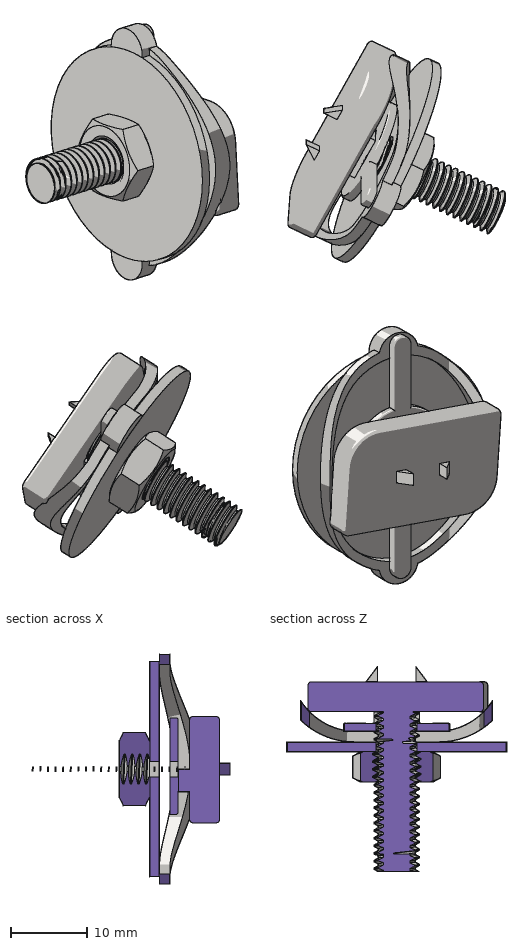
import cadquery as cq
import math


washer_back_y = 1.3
spring_back_y = 2.7
plate_back_y = 3.78
head_front_y = 5.25
head_back_y = 9.23
spike_tip_y = 11.22
nut_front_y = -4.0
bolt_end_y = -15.75

washer_radius = 14.5
bore_radius = 3.15

pitch = 1.0
crest_radius = 3.0
thread_depth = 0.55
crest_flat = pitch / 8
flank_angle = 30
ridge_embed = 0.07
crest_angle_at_end = -33

nut_clearance = 0.55
nut_across_flats = 10.0
nut_face_radius = 4.8
nut_chamfer_angle = 30

head_height = 14.05
head_long_corner_x = 12.05
head_end_slant = 4
head_small_corner_radius = 1.0
head_large_corner_radius = 4.9
head_edge_fillet = 0.5
head_offset_z = -0.07

spike_inner_x = 2.5
spike_outer_x = 4.02
spike_width = 1.6

ring_outer_x = 12.62
ring_outer_z = 15.55
ring_inner_x = 11.55
ring_inner_z = 14.23
spring_front_flat = 5.6
spring_front_bend = 10.05
spring_back_flat = 5.28
spring_back_bend = 8.67
lug_radius = 2.97
lug_centre_z = washer_radius

plate_radius = 7.03
plate_arm_half_width = 1.35
plate_arm_reach = 16.85
plate_offset_z = 0.4
plate_edge_fillet = 0.25


def sketch_at(y):
    """Workplane at height y that draws in X and Z and extrudes towards -Y."""
    return cq.Workplane("XZ", origin=(0, y, 0))


def threaded_rod(outer_radius, back_y, front_y):
    """Right-handed threaded rod; all rods share one phase, so a nut matches its bolt."""
    root_radius = outer_radius - thread_depth
    ridge_base_radius = root_radius - ridge_embed
    length = back_y - front_y
    overrun = 2 * pitch
    crest_half = crest_flat / 2
    base_half = crest_half + (outer_radius - ridge_base_radius) * math.tan(math.radians(flank_angle))
    ridge_start_y = back_y + overrun
    start_angle = crest_angle_at_end - 360 * (ridge_start_y - bolt_end_y) / pitch

    helix = cq.Wire.makeHelix(pitch, length + 2 * overrun, root_radius)
    ridge = (
        cq.Workplane("XZ")
        .polyline([
            (ridge_base_radius, -base_half),
            (outer_radius, -crest_half),
            (outer_radius, crest_half),
            (ridge_base_radius, base_half),
        ])
        .close()
        .sweep(cq.Workplane(helix), isFrenet=True)
        .rotate((0, 0, 0), (0, 0, 1), start_angle)
        .rotate((0, 0, 0), (1, 0, 0), 90)
        .translate((0, ridge_start_y, 0))
    )
    core = sketch_at(ridge_start_y).circle(root_radius).extrude(length + 2 * overrun)
    trim = sketch_at(back_y).circle(2 * outer_radius).extrude(length)
    return core.union(ridge).intersect(trim)


def make_head():
    half_height = head_height / 2
    short_corner_x = head_long_corner_x - head_height * math.tan(math.radians(head_end_slant))
    head = (
        sketch_at(head_back_y)
        .polyline([
            (head_long_corner_x, -half_height),
            (short_corner_x, half_height),
            (-head_long_corner_x, half_height),
            (-short_corner_x, -half_height),
        ])
        .close()
        .extrude(head_back_y - head_front_y)
    )
    middle_y = (head_front_y + head_back_y) / 2
    for side in (1, -1):
        long_corner = (side * head_long_corner_x, middle_y, -side * half_height)
        short_corner = (side * short_corner_x, middle_y, side * half_height)
        head = head.edges(cq.NearestToPointSelector(long_corner)).fillet(head_small_corner_radius)
        head = head.edges(cq.NearestToPointSelector(short_corner)).fillet(head_large_corner_radius)
    head = head.faces("<Y or >Y").edges().fillet(head_edge_fillet)
    return head.translate((0, 0, head_offset_z))


def make_bolt():
    """Hammer head, half-height neck and threaded shank in one piece."""
    neck = (
        sketch_at(head_front_y)
        .rect(2 * crest_radius, crest_radius)
        .extrude(head_front_y - plate_back_y)
        .translate((0, 0, -crest_radius / 2))
    )
    shank = threaded_rod(crest_radius, head_front_y, bolt_end_y)
    return shank.union(neck).union(make_head())


def make_spike(side):
    """Wedge whose inner side is square to the head and whose outer side slopes to the tip."""
    return (
        cq.Workplane("XY", origin=(0, 0, -spike_width / 2))
        .polyline([
            (side * spike_inner_x, head_back_y),
            (side * spike_outer_x, head_back_y),
            (side * spike_inner_x, spike_tip_y),
        ])
        .close()
        .extrude(spike_width)
    )


def make_washer():
    return sketch_at(washer_back_y).circle(washer_radius).circle(bore_radius).extrude(washer_back_y)


def make_nut():
    thickness = -nut_front_y
    corner_radius = nut_across_flats / math.sqrt(3)
    chamfer_height = (corner_radius - nut_face_radius) * math.tan(math.radians(nut_chamfer_angle))
    hexagon = sketch_at(0).polygon(6, 2 * corner_radius).extrude(thickness)
    chamfered_blank = (
        cq.Workplane("XY")
        .polyline([
            (0, 0),
            (nut_face_radius, 0),
            (corner_radius, -chamfer_height),
            (corner_radius, chamfer_height - thickness),
            (nut_face_radius, -thickness),
            (0, -thickness),
        ])
        .close()
        .revolve(360, (0, 0, 0), (0, 1, 0))
    )
    tapped_hole = threaded_rod(crest_radius + nut_clearance, 0, nut_front_y)
    return hexagon.intersect(chamfered_blank).cut(tapped_hole)


def bend_rise(x, flat, bend):
    """Rise at x of a surface that is flat up to `flat` and then follows an arc of radius `bend`."""
    return bend - math.sqrt(bend**2 - (x - flat) ** 2)


def bent_sheet():
    """Sheet bent about Z: flat in the middle, both sides curling towards the head."""
    tip_x = ring_outer_x
    middle_front_x = (spring_front_flat + tip_x) / 2
    middle_back_x = (spring_back_flat + tip_x) / 2

    def front(x):
        return (x, washer_back_y + bend_rise(abs(x), spring_front_flat, spring_front_bend))

    def back(x):
        return (x, spring_back_y + bend_rise(abs(x), spring_back_flat, spring_back_bend))

    return (
        cq.Workplane("XY")
        .moveTo(-spring_front_flat, washer_back_y)
        .lineTo(spring_front_flat, washer_back_y)
        .threePointArc(front(middle_front_x), front(tip_x))
        .lineTo(*back(tip_x))
        .threePointArc(back(middle_back_x), (spring_back_flat, spring_back_y))
        .lineTo(-spring_back_flat, spring_back_y)
        .threePointArc(back(-middle_back_x), back(-tip_x))
        .lineTo(*front(-tip_x))
        .threePointArc(front(-middle_front_x), (-spring_front_flat, washer_back_y))
        .close()
        .extrude(ring_outer_z, both=True)
    )


def make_spring():
    """Elliptical ring cut from the bent sheet, with two round lugs, relieved where the head rests on it."""
    depth = head_back_y
    outer = sketch_at(depth).ellipse(ring_outer_x, ring_outer_z).extrude(depth)
    inner = sketch_at(depth).ellipse(ring_inner_x, ring_inner_z).extrude(depth)
    spring = bent_sheet().intersect(outer)
    for side in (1, -1):
        lug = sketch_at(spring_back_y).center(0, side * lug_centre_z).circle(lug_radius).extrude(spring_back_y)
        shank = (
            sketch_at(spring_back_y)
            .center(0, side * lug_centre_z / 2)
            .rect(2 * lug_radius, lug_centre_z)
            .extrude(spring_back_y)
        )
        spring = spring.union(lug.union(shank))
    washer_seat = sketch_at(washer_back_y).circle(washer_radius).extrude(washer_back_y)
    return spring.cut(inner).cut(washer_seat).cut(make_head())


def make_plate():
    """Round contact plate with two round-ended arms that rest on the spring."""
    thickness = plate_back_y - spring_back_y
    disc = sketch_at(plate_back_y).circle(plate_radius).extrude(thickness)
    arms = sketch_at(plate_back_y).slot2D(2 * plate_arm_reach, 2 * plate_arm_half_width, 90).extrude(thickness)
    plate = disc.union(arms).faces(">Y").edges().fillet(plate_edge_fillet)
    plate = plate.translate((0, 0, plate_offset_z))
    bore = sketch_at(plate_back_y).circle(bore_radius).extrude(thickness)
    return plate.cut(bore)


bolt = make_bolt()
spikes = [make_spike(side) for side in (1, -1)]
washer = make_washer()
nut = make_nut()
spring = make_spring()
plate = make_plate()

result = cq.Compound.makeCompound([
    bolt.val(),
    *[spike.val() for spike in spikes],
    washer.val(),
    nut.val(),
    spring.val(),
    plate.val(),
])